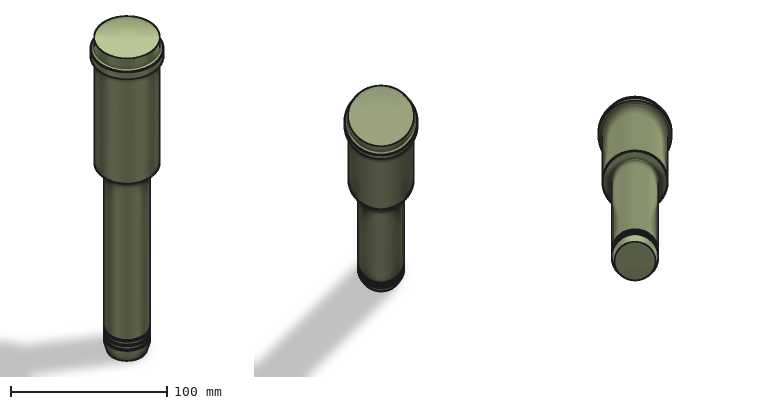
import cadquery as cq
import math

total_height = 260.0
sleeve_bottom = 154.7
collar_bottom = 244.7
collar_top = 251.0

pin_diameter = 30.0
sleeve_diameter = 42.0
collar_diameter = 47.0

collar_chamfer = 0.5
sleeve_chamfer = 0.5
fillet_radius = 0.5

tip_diameter = 26.3
tip_height = 7.0

groove_count = 3
first_groove_height = 10.7
groove_pitch = 4.0
groove_width = 1.5
groove_depth = 0.5


def cylinder(diameter, bottom, top):
    return cq.Workplane("XY").workplane(offset=bottom).circle(diameter / 2).extrude(top - bottom)


def make_pin():
    """Straight pin with a conical lead-in at its lower end."""
    radius = pin_diameter / 2
    profile = [
        (0, 0),
        (tip_diameter / 2, 0),
        (radius, tip_height),
        (radius, sleeve_bottom),
        (0, sleeve_bottom),
    ]
    return cq.Workplane("XZ").polyline(profile).close().revolve(360, (0, 0, 0), (0, 1, 0))


def make_sleeve():
    sleeve = cylinder(sleeve_diameter, sleeve_bottom, total_height)
    return sleeve.faces("<Z").chamfer(sleeve_chamfer)


def make_collar():
    collar = cylinder(collar_diameter, collar_bottom, collar_top)
    return collar.faces(">Z").chamfer(collar_chamfer)


def make_groove(center_height):
    """V-groove running around the pin."""
    radius = pin_diameter / 2
    profile = [
        (radius - groove_depth, center_height),
        (radius, center_height + groove_width / 2),
        (collar_diameter / 2, center_height + groove_width / 2),
        (collar_diameter / 2, center_height - groove_width / 2),
        (radius, center_height - groove_width / 2),
    ]
    return cq.Workplane("XZ").polyline(profile).close().revolve(360, (0, 0, 0), (0, 1, 0))


def make_corner_fillet(diameter, shoulder, direction):
    """Concave fillet where a shoulder meets a shaft; direction is +1 above the shoulder, -1 below."""
    radius = diameter / 2
    inset = fillet_radius * (1 - math.sqrt(0.5))
    profile = (
        cq.Workplane("XZ")
        .moveTo(0, shoulder)
        .lineTo(radius + fillet_radius, shoulder)
        .threePointArc(
            (radius + inset, shoulder + direction * inset),
            (radius, shoulder + direction * fillet_radius),
        )
        .lineTo(0, shoulder + direction * fillet_radius)
        .close()
    )
    return profile.revolve(360, (0, 0, 0), (0, 1, 0))


result = make_pin().union(make_sleeve()).union(make_collar())
result = result.union(make_corner_fillet(sleeve_diameter, collar_top, 1))
result = result.union(make_corner_fillet(sleeve_diameter, collar_bottom, -1))
result = result.union(make_corner_fillet(pin_diameter, sleeve_bottom, -1))
for index in range(groove_count):
    result = result.cut(make_groove(first_groove_height + index * groove_pitch))